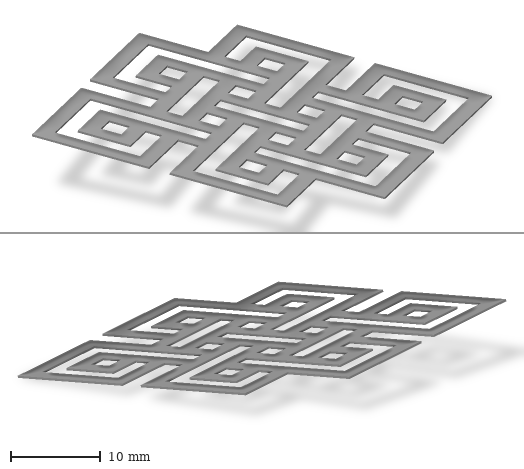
import cadquery as cq
import math

overall_width = 43.85
window_side = 2.5
thickness = 0.25
turn_angle = 45.0
tilt_angle = 6.48

corner_pitches = 4
pitch = (overall_width / math.sqrt(2) + window_side) / corner_pitches
half_pitch = pitch / 2

strips_per_pitch = 3
slot_width = (pitch - window_side) / strips_per_pitch

grid_count = 4
plate_side = (grid_count + 1) * pitch - window_side

outer_count = grid_count - 1
window_counts = range(-outer_count, outer_count + 1, 2)

notch_places = [(1, 3), (3, 1), (-3, 3)]

paired_slots = [
    [(2, 3), (2, 4), (4, 4), (4, 2), (1, 2)],
    [(-2, 3), (-2, 4), (0, 4), (0, 1)],
    [(3, 0), (4, 0), (4, -2), (1, -2)],
    [(2, 1), (2, -1)],
]
centre_slot = [(1, 0), (-1, 0)]


def opposite(places):
    """Turn grid places half a revolution about the centre."""
    return [(-column, -row) for column, row in places]


def block(x_min, x_max, y_min, y_max):
    """Box through the full thickness, centred on the plate's mid-plane."""
    return (
        cq.Workplane("XY")
        .box(x_max - x_min, y_max - y_min, thickness)
        .translate(((x_min + x_max) / 2, (y_min + y_max) / 2, 0))
    )


def window_span(count):
    """Limits of a window along one axis."""
    centre = count * half_pitch
    return centre - window_side / 2, centre + window_side / 2


def notch_span(count):
    """Limits of a notch along one axis, carried out to the rim at the outer count."""
    low, high = window_span(count)
    if count == outer_count:
        high = plate_side / 2
    if count == -outer_count:
        low = -plate_side / 2
    return low, high


def slot_leg(start, end, start_reach, end_reach):
    """Straight slot leg, carried past its start and end by the given reaches."""
    length = math.dist(start, end) * half_pitch
    angle = math.degrees(math.atan2(end[1] - start[1], end[0] - start[0]))
    leg = block(-start_reach, length + end_reach, -slot_width / 2, slot_width / 2)
    leg = leg.rotate((0, 0, 0), (0, 0, 1), angle)
    return leg.translate((start[0] * half_pitch, start[1] * half_pitch, 0))


def cut_slot(body, path):
    """Cut a slot whose ends finish flush with the far edges of windows."""
    last_leg = len(path) - 2
    for index, (start, end) in enumerate(zip(path, path[1:])):
        start_reach = window_side / 2 if index == 0 else slot_width / 2
        end_reach = window_side / 2 if index == last_leg else slot_width / 2
        body = body.cut(slot_leg(start, end, start_reach, end_reach))
    return body


plate = cq.Workplane("XY").box(plate_side, plate_side, thickness)

all_notches = notch_places + opposite(notch_places)
for column in window_counts:
    for row in window_counts:
        span = notch_span if (column, row) in all_notches else window_span
        plate = plate.cut(block(*span(column), *span(row)))

plate = cut_slot(plate, centre_slot)
for slot in paired_slots:
    plate = cut_slot(plate, slot)
    plate = cut_slot(plate, opposite(slot))

plate = plate.rotate((0, 0, 0), (0, 0, 1), turn_angle)
result = plate.rotate((0, 0, 0), (1, 0, 0), -tilt_angle)